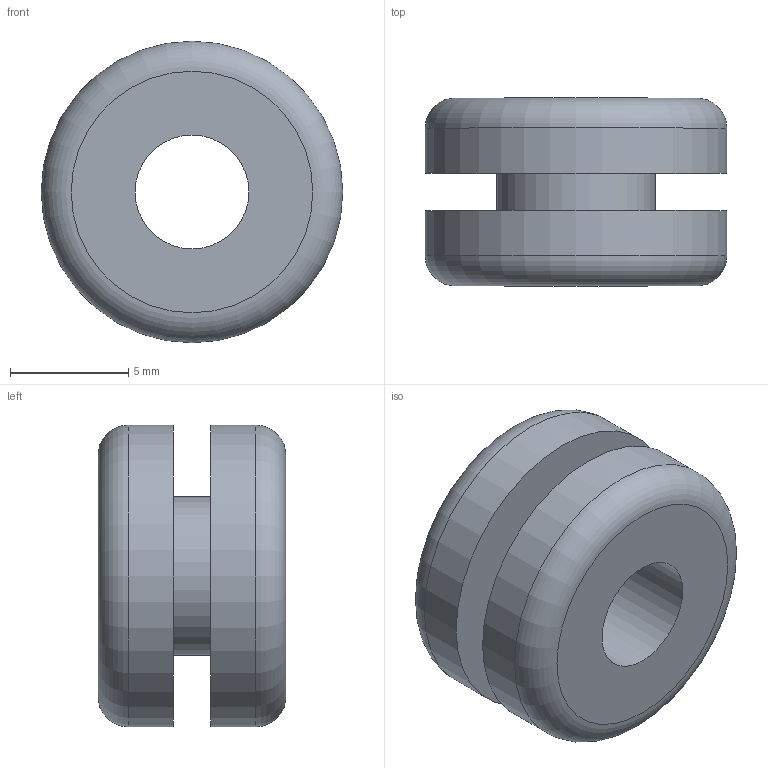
import cadquery as cq

flange_diameter = 12.76
neck_diameter = 6.69
bore_diameter = 4.82
total_length = 7.94
groove_width = 1.58
edge_radius = 1.27

flange_thickness = (total_length - groove_width) / 2


def cylinder_along_y(diameter, length):
    """Cylinder on the Y axis, centred on the origin."""
    return cq.Workplane("XZ").circle(diameter / 2).extrude(length / 2, both=True)


def make_flange(side):
    """Flange with a rounded outer rim; side is -1 or +1 along Y."""
    center_y = side * (groove_width + flange_thickness) / 2
    outer_face = "<Y" if side < 0 else ">Y"
    disc = cylinder_along_y(flange_diameter, flange_thickness)
    return disc.faces(outer_face).edges().fillet(edge_radius).translate((0, center_y, 0))


body = cylinder_along_y(neck_diameter, total_length)
for side in (-1, 1):
    body = body.union(make_flange(side))

result = body.cut(cylinder_along_y(bore_diameter, total_length)).clean()